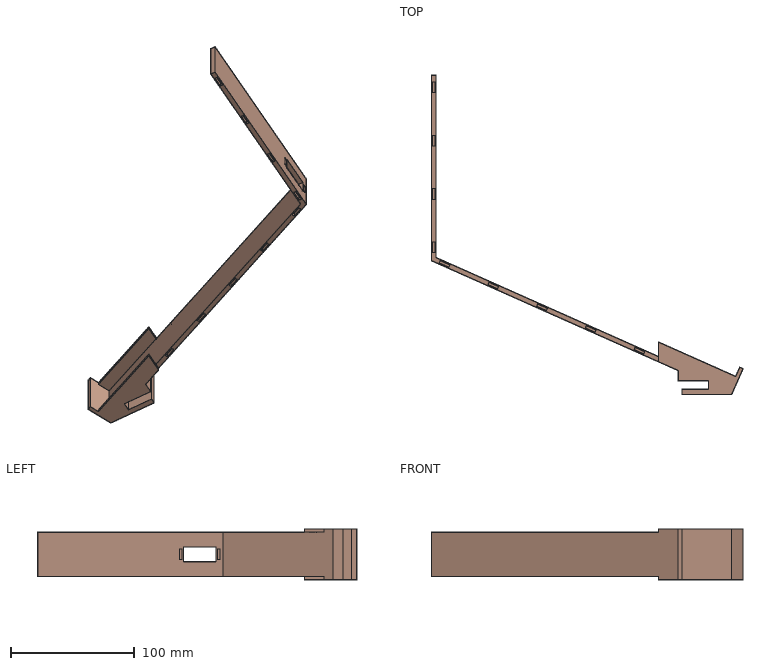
import cadquery as cq
import math

overall_x = 252.3
overall_y = 258.2
clip_height = 41.0
band_height = 36.0

band_thickness = 4.0
arm_slope = 24.0
corner_y = 108.2

clip_left = 183.5
jaw_left = 199.5
foot_left = 202.7
foot_right = 243.0
foot_thickness = 4.5
slot_end = 224.1
slot_top = 11.0
flange_depth = 14.7
lip_thickness = 3.0

pocket_length = 8.5
pocket_depth = 4.5
skin = 1.0
pocket_width = band_thickness - 2 * skin
pocket_pitch = 43.0
first_pocket = 10.8
upright_pocket_count = 4
arm_pocket_count = 5

window_centre_y = 127.0
window_length = 26.0
window_height = 12.0
groove_inner_span = 28.5
groove_outer_span = 32.5
groove_height = 8.5
groove_depth = 1.0

slope = math.tan(math.radians(arm_slope))
cos_slope = math.cos(math.radians(arm_slope))
sin_slope = math.sin(math.radians(arm_slope))


def arm_y(x, offset=0.0):
    """Y at x of the line lying a given distance inside the arm's outer face."""
    return corner_y - slope * x + offset / cos_slope


def extrude_outline(points, height):
    """Extrude a closed outline symmetrically about Z = 0."""
    return cq.Workplane("XY").polyline(points).close().extrude(height / 2, both=True)


def along_arm(shape):
    """Place a shape drawn along +X, with the arm's outer face at Y = 0, onto the arm."""
    return shape.rotate((0, 0, 0), (0, 0, 1), -arm_slope).translate((0, corner_y, 0))


def along_upright(shape):
    """Place a shape drawn along +X, with one band face at Y = 0, onto the upright."""
    return shape.rotate((0, 0, 0), (0, 0, 1), 90).translate((band_thickness, corner_y, 0))


def make_band():
    outline = [
        (0, overall_y),
        (0, corner_y),
        (jaw_left, arm_y(jaw_left)),
        (jaw_left, arm_y(jaw_left, band_thickness)),
        (band_thickness, arm_y(band_thickness, band_thickness)),
        (band_thickness, overall_y),
    ]
    return extrude_outline(outline, band_height)


def make_clip():
    tip_y = (overall_x - foot_right) / slope
    inner_tip_x = overall_x - lip_thickness * cos_slope
    inner_tip_y = tip_y + lip_thickness * sin_slope
    lip_rise = (inner_tip_y - arm_y(inner_tip_x, flange_depth)) * cos_slope
    lip_root = (inner_tip_x - lip_rise * sin_slope, inner_tip_y - lip_rise * cos_slope)
    outline = [
        (clip_left, arm_y(clip_left)),
        (jaw_left, arm_y(jaw_left)),
        (jaw_left, slot_top),
        (slot_end, slot_top),
        (slot_end, foot_thickness),
        (foot_left, foot_thickness),
        (foot_left, 0),
        (foot_right, 0),
        (overall_x, tip_y),
        (inner_tip_x, inner_tip_y),
        lip_root,
        (clip_left, arm_y(clip_left, flange_depth)),
    ]
    clip = extrude_outline(outline, clip_height)

    channel_length = inner_tip_x * cos_slope - (inner_tip_y - corner_y) * sin_slope
    channel = cq.Workplane("XY").box(
        channel_length, flange_depth, band_height, centered=(False, False, True)
    )
    return clip.cut(along_arm(channel.translate((0, band_thickness, 0))))


def pocket_row(count):
    """Cutters for a row of pockets in both edges of a leg that runs along +X from the corner."""
    centres = [
        (first_pocket + i * pocket_pitch, band_thickness / 2, side * band_height / 2)
        for i in range(count)
        for side in (-1, 1)
    ]
    cutter = cq.Workplane("XY")
    for centre in centres:
        pocket = cq.Workplane("XY").box(pocket_length, pocket_width, 2 * pocket_depth)
        cutter = cutter.add(pocket.translate(centre))
    return cutter.combine()


def window_block(depth, length, height):
    """A block cutting into the upright's outer face to a depth, centred on the window."""
    block = cq.Workplane("XY").box(2 * depth, length, height)
    return block.translate((0, window_centre_y, 0))


def make_window():
    window = window_block(2 * band_thickness, window_length, window_height)
    grooves = window_block(groove_depth, groove_outer_span, groove_height)
    grooves = grooves.cut(window_block(groove_depth, groove_inner_span, groove_height))
    return window.union(grooves)


result = make_band().union(make_clip())
result = result.cut(along_upright(pocket_row(upright_pocket_count)))
result = result.cut(along_arm(pocket_row(arm_pocket_count)))
result = result.cut(make_window())